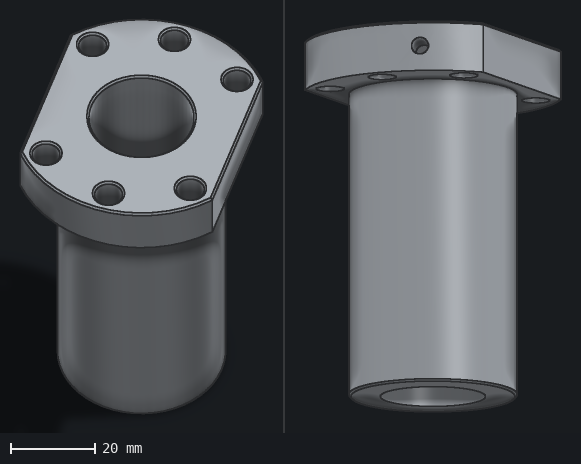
import cadquery as cq
import math

total_height = 85.0
flange_diameter = 62.0
flange_width = 48.0
flange_thickness = 12.0
body_diameter = 40.0
bore_diameter = 25.0
edge_chamfer = 0.5

bolt_hole_diameter = 6.6
bolt_circle_diameter = 51.0
bolt_spacing_angle = 45.0

oil_hole_diameter = 4.0
oil_hole_depth = 10.0
oil_hole_angle = 90.0 + bolt_spacing_angle / 2

flange_bottom = total_height - flange_thickness
oil_hole_height = flange_bottom + flange_thickness / 2


def make_body():
    """Cylindrical body with a chamfered foot, running up into the flange."""
    body = cq.Workplane("XY").circle(body_diameter / 2).extrude(total_height - flange_thickness / 2)
    return body.faces("<Z").edges().chamfer(edge_chamfer)


def make_flange():
    """Round flange with two parallel flats and a chamfered top rim."""
    disc = cq.Workplane("XY").workplane(offset=flange_bottom).circle(flange_diameter / 2)
    disc = disc.extrude(flange_thickness)
    flats = cq.Workplane("XY").workplane(offset=flange_bottom).rect(flange_width, flange_diameter)
    flats = flats.extrude(flange_thickness)
    return disc.intersect(flats).faces(">Z").edges().chamfer(edge_chamfer)


def chamfered_hole_cutter(diameter, x, y, bottom):
    """Vertical cutter from the given height to the top face, widened by the rim chamfer."""
    radius = diameter / 2
    hole = cq.Workplane("XY").workplane(offset=bottom).center(x, y).circle(radius)
    hole = hole.extrude(total_height - bottom)
    rim = cq.Workplane("XY").workplane(offset=total_height - edge_chamfer).center(x, y)
    rim = rim.circle(radius).workplane(offset=edge_chamfer).circle(radius + edge_chamfer).loft(ruled=True)
    return hole.union(rim)


def make_oil_hole_cutter():
    """Horizontal cutter driven inward from the flange rim, stopping short of the bore."""
    angle = math.radians(oil_hole_angle)
    outward = cq.Vector(math.cos(angle), math.sin(angle), 0)
    bottom_of_hole = outward * (flange_diameter / 2 - oil_hole_depth) + cq.Vector(0, 0, oil_hole_height)
    return cq.Solid.makeCylinder(oil_hole_diameter / 2, flange_diameter / 2, bottom_of_hole, outward)


result = make_body().union(make_flange())
result = result.cut(chamfered_hole_cutter(bore_diameter, 0, 0, 0))

for group_angle in (90.0, 270.0):
    for step in (-1, 0, 1):
        hole_angle = math.radians(group_angle + step * bolt_spacing_angle)
        hole_x = bolt_circle_diameter / 2 * math.cos(hole_angle)
        hole_y = bolt_circle_diameter / 2 * math.sin(hole_angle)
        result = result.cut(chamfered_hole_cutter(bolt_hole_diameter, hole_x, hole_y, flange_bottom))

result = result.cut(make_oil_hole_cutter())